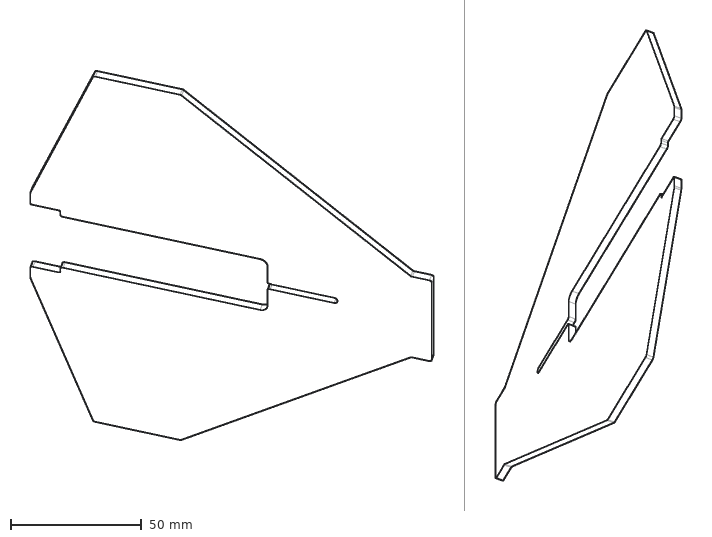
import cadquery as cq

length = 160.0
height = 200.0
thickness = 3.0

half_height = height / 2
left_corner_z = 24.5
top_start_x = 25.2
top_end_x = 60.0
tongue_start_x = 151.8
tongue_half_height = 23.4

lip_depth = 12.0
lip_half_height = 17.9
notch_depth = 94.5
notch_half_height = 14.7

slot_width = 3.0
slot_end_x = 122.5

edge_break_radius = 1.0
left_corner_radius = 3.0
step_root_radius = 0.5
notch_radius = 3.0


def extrude_profile(sketch):
    """Extrude a closed XZ profile through the plate, centred on Y = 0."""
    return sketch.extrude(thickness / 2, both=True)


def round_corners(body, corners, radius):
    """Round the through-thickness edges at each (x, z) corner and its mirror image."""
    for x, z in corners:
        for side in (1, -1):
            edge = cq.selectors.NearestToPointSelector((x, 0, side * z))
            body = body.edges("|Y").edges(edge).fillet(radius)
    return body


def make_plate():
    upper_corners = [
        (0, left_corner_z),
        (top_start_x, half_height),
        (top_end_x, half_height),
        (tongue_start_x, tongue_half_height),
        (length, tongue_half_height),
    ]
    lower_corners = [(x, -z) for x, z in reversed(upper_corners)]
    plate = extrude_profile(cq.Workplane("XZ").polyline(upper_corners + lower_corners).close())
    plate = round_corners(plate, upper_corners[:1], left_corner_radius)
    return round_corners(plate, upper_corners[1:], edge_break_radius)


def cut_notch(body):
    for depth, half_opening in ((lip_depth, lip_half_height), (notch_depth, notch_half_height)):
        opening = cq.Workplane("XZ").center(depth / 2, 0).rect(depth, 2 * half_opening)
        body = body.cut(extrude_profile(opening))
    body = round_corners(body, [(0, lip_half_height), (lip_depth, notch_half_height)], edge_break_radius)
    body = round_corners(body, [(lip_depth, lip_half_height)], step_root_radius)
    return round_corners(body, [(notch_depth, notch_half_height)], notch_radius)


def cut_slot(body):
    slot_radius = slot_width / 2
    arc_x = slot_end_x - slot_radius
    profile = (
        cq.Workplane("XZ")
        .moveTo(notch_depth, slot_radius)
        .lineTo(arc_x, slot_radius)
        .threePointArc((slot_end_x, 0), (arc_x, -slot_radius))
        .lineTo(notch_depth, -slot_radius)
        .close()
    )
    body = body.cut(extrude_profile(profile))
    return round_corners(body, [(notch_depth, slot_radius)], edge_break_radius)


result = cut_slot(cut_notch(make_plate()))